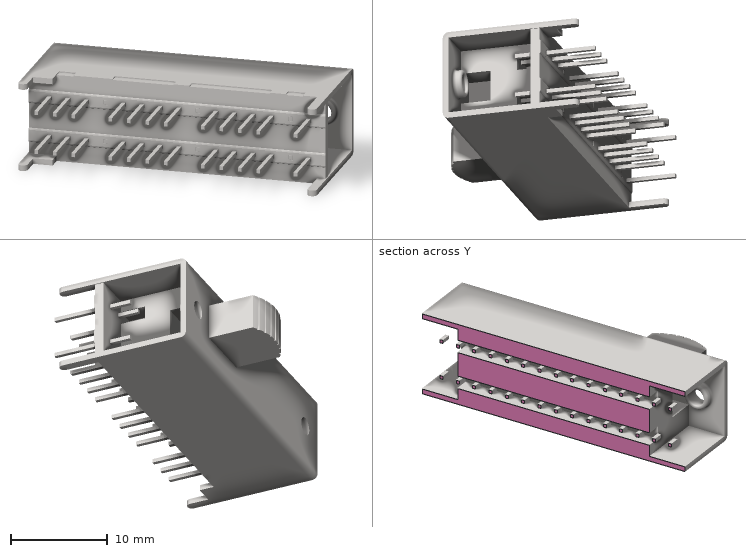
import cadquery as cq
import math

LENGTH = 32
HEIGHT = 9.45
WALL = 0.6
CORNER_RADIUS = WALL
INNER_HEIGHT = HEIGHT - 2 * WALL

EDGE_Y = -10.43
STEP_Y = -12.0
STEP_WIDTH = 3.07
LUG_WIDTH = 1.0
LUG_TIP_Y = -14.6

RECESS_SPANS = ((3.07, 4.85), (9.05, 15.6), (17.3, 25.92), (27.65, 29.47))
RECESS_LENGTH = 1.0
RECESS_DEPTH = 0.1

BASE_THICKNESS = 1.0
BASE_END_GAP = 0.1
BASE_BACK_Y = EDGE_Y + BASE_THICKNESS
STRIP_FOOT_WIDTH = 1.55
STRIP_SHOULDER_WIDTH = 1.45
STRIP_TOP_WIDTH = 1.15
STRIP_HEIGHT = 0.13
STRIP_SHOULDER_HEIGHT = 0.08
STRIP_Y = EDGE_Y - STRIP_HEIGHT
ROW_Z = 2.1
ROWS_Z = (-ROW_Z, ROW_Z)

PIN_SIZE = 0.4
PIN_COUNT = 15
PIN_PITCH = 2.0
FIRST_PIN_X = 2.37
SOCKET_SIZE = 0.5
SOCKET_DEPTH = 0.1
PIN_TIP_Y = -15.78
PIN_INNER_Y = -7.17
SHORT_PINS = (3, 8, 13)

SLIDER_END_GAP = 4.32
CHANNEL_WIDTH = 1.4
CHANNEL_FLOOR_Y = -6.7
POCKET_HEIGHT = 3.25
POCKET_END_Y = -3.85
POCKET_LENGTH = 2.88

COLLAR_X = 2.98
COLLAR_RADIUS = 1.45
COLLAR_HEIGHT = 0.9
COLLAR_ROOT_FILLET = 0.2
COLLAR_RIM_FILLET = 0.3
COLLAR_LIP_FILLET = 0.15
COLLAR_RIM_FLAT = 0.03
COLLAR_RIM_RADIUS = COLLAR_RADIUS - COLLAR_RIM_FILLET
COLLAR_BORE_RADIUS = COLLAR_RIM_RADIUS - COLLAR_RIM_FLAT - COLLAR_LIP_FILLET

HANDLE_X = 23.07
HANDLE_WIDTH = 6.62
HANDLE_HEIGHT = 3.87
HANDLE_SIDE_Y = 5.0
HANDLE_TIP_Y = 6.0
GRIP_PITCH = 0.9
GRIP_COUNT = 7
GRIP_DEPTH = 0.22
GRIP_WIDTH = 0.2


def block(x_span, y_span, z_span):
    """Box between two limits along each axis."""
    lows, highs = zip(*(sorted(span) for span in (x_span, y_span, z_span)))
    sizes = [high - low for low, high in zip(lows, highs)]
    return cq.Workplane("XY").box(*sizes, centered=False).translate(lows)


def centred(middle, size):
    return (middle - size / 2, middle + size / 2)


def make_cover():
    lug_radius = LUG_WIDTH / 2
    lug_side_y = LUG_TIP_Y + lug_radius
    outline = (
        cq.Workplane("XY")
        .moveTo(0, 0)
        .lineTo(0, lug_side_y)
        .threePointArc((lug_radius, LUG_TIP_Y), (LUG_WIDTH, lug_side_y))
        .lineTo(LUG_WIDTH, STEP_Y)
        .lineTo(STEP_WIDTH, STEP_Y)
        .lineTo(STEP_WIDTH, EDGE_Y)
        .lineTo(LENGTH - LUG_WIDTH, EDGE_Y)
        .lineTo(LENGTH - LUG_WIDTH, lug_side_y)
        .threePointArc((LENGTH - lug_radius, LUG_TIP_Y), (LENGTH, lug_side_y))
        .lineTo(LENGTH, 0)
        .close()
    )
    cover = outline.extrude(HEIGHT / 2, both=True).edges("|X and >Y").fillet(CORNER_RADIUS)
    inside = block((0, LENGTH), (-WALL, LUG_TIP_Y), centred(0, INNER_HEIGHT))
    cover = cover.cut(inside)
    for left, right in RECESS_SPANS:
        recess = block(
            (left, right),
            (EDGE_Y, EDGE_Y + RECESS_LENGTH),
            (HEIGHT / 2 - RECESS_DEPTH, HEIGHT / 2),
        )
        cover = cover.cut(recess)
    return cover


def make_base():
    x_span = (BASE_END_GAP, LENGTH - BASE_END_GAP)
    base = block(x_span, (EDGE_Y, BASE_BACK_Y), centred(0, INNER_HEIGHT))
    shoulder_y = EDGE_Y - STRIP_SHOULDER_HEIGHT
    for row_z in ROWS_Z:
        foot_low, foot_high = centred(row_z, STRIP_FOOT_WIDTH)
        shoulder_low, shoulder_high = centred(row_z, STRIP_SHOULDER_WIDTH)
        top_low, top_high = centred(row_z, STRIP_TOP_WIDTH)
        strip = (
            cq.Workplane("YZ", origin=(x_span[0], 0, 0))
            .moveTo(EDGE_Y, foot_low)
            .lineTo(shoulder_y, shoulder_low)
            .lineTo(STRIP_Y, top_low)
            .lineTo(STRIP_Y, top_high)
            .lineTo(shoulder_y, shoulder_high)
            .lineTo(EDGE_Y, foot_high)
            .close()
            .extrude(x_span[1] - x_span[0])
        )
        base = base.union(strip)
    return base


def pin_bars(size, inner_y, tip_y, indices):
    """Square bars along Y at the given places of both terminal rows."""
    bars = cq.Workplane("XY")
    for row_z in ROWS_Z:
        for index in indices:
            pin_x = FIRST_PIN_X + index * PIN_PITCH
            bars = bars.add(block(centred(pin_x, size), (tip_y, inner_y), centred(row_z, size)))
    return bars.combine()


def make_sockets():
    return pin_bars(SOCKET_SIZE, STRIP_Y + SOCKET_DEPTH, STRIP_Y, range(PIN_COUNT))


def make_pins():
    long_pins = [index for index in range(PIN_COUNT) if index not in SHORT_PINS]
    pins = pin_bars(PIN_SIZE, PIN_INNER_Y, PIN_TIP_Y, long_pins)
    return pins.union(pin_bars(PIN_SIZE, PIN_INNER_Y, STRIP_Y, SHORT_PINS))


def make_slider():
    x_span = (SLIDER_END_GAP, LENGTH - SLIDER_END_GAP)
    slider = block(x_span, (-WALL, BASE_BACK_Y), centred(0, INNER_HEIGHT))
    for row_z in ROWS_Z:
        slider = slider.cut(block(x_span, (CHANNEL_FLOOR_Y, BASE_BACK_Y), centred(row_z, CHANNEL_WIDTH)))
    for start in (x_span[0], x_span[1] - POCKET_LENGTH):
        slider = slider.cut(
            block((start, start + POCKET_LENGTH), (-WALL, POCKET_END_Y), centred(0, POCKET_HEIGHT))
        )
    return slider


def make_handle():
    handle = (
        cq.Workplane("XY")
        .moveTo(-HANDLE_WIDTH / 2, -WALL)
        .lineTo(-HANDLE_WIDTH / 2, HANDLE_SIDE_Y)
        .threePointArc((0, HANDLE_TIP_Y), (HANDLE_WIDTH / 2, HANDLE_SIDE_Y))
        .lineTo(HANDLE_WIDTH / 2, -WALL)
        .close()
        .extrude(HANDLE_HEIGHT / 2, both=True)
    )
    rise = HANDLE_TIP_Y - HANDLE_SIDE_Y
    crown_radius = (HANDLE_WIDTH**2 / 4 + rise**2) / (2 * rise)
    for index in range(GRIP_COUNT):
        x = (index - (GRIP_COUNT - 1) / 2) * GRIP_PITCH
        crown_y = HANDLE_TIP_Y - crown_radius + math.sqrt(crown_radius**2 - x**2)
        groove = (
            cq.Workplane("XY")
            .moveTo(x - GRIP_WIDTH / 2, crown_y)
            .lineTo(x, crown_y - GRIP_DEPTH)
            .lineTo(x + GRIP_WIDTH / 2, crown_y)
            .lineTo(x + GRIP_WIDTH / 2, HANDLE_TIP_Y + GRIP_DEPTH)
            .lineTo(x - GRIP_WIDTH / 2, HANDLE_TIP_Y + GRIP_DEPTH)
            .close()
            .extrude(HANDLE_HEIGHT, both=True)
        )
        handle = handle.cut(groove)
    return handle.translate((HANDLE_X, 0, 0))


def make_collar():
    """Collar around a bore along Y, with rounded rim and root, starting inside the wall."""
    root_y = -WALL
    rim_y = -WALL - COLLAR_HEIGHT
    lip_radius = COLLAR_BORE_RADIUS + COLLAR_LIP_FILLET
    return (
        cq.Workplane("XY")
        .moveTo(COLLAR_BORE_RADIUS, root_y / 2)
        .lineTo(COLLAR_BORE_RADIUS, rim_y + COLLAR_LIP_FILLET)
        .radiusArc((lip_radius, rim_y), -COLLAR_LIP_FILLET)
        .lineTo(COLLAR_RIM_RADIUS, rim_y)
        .radiusArc((COLLAR_RADIUS, rim_y + COLLAR_RIM_FILLET), -COLLAR_RIM_FILLET)
        .lineTo(COLLAR_RADIUS, root_y - COLLAR_ROOT_FILLET)
        .radiusArc((COLLAR_RADIUS + COLLAR_ROOT_FILLET, root_y), COLLAR_ROOT_FILLET)
        .lineTo(COLLAR_RADIUS + COLLAR_ROOT_FILLET, root_y / 2)
        .close()
        .revolve(360, (0, 0, 0), (0, 1, 0))
    )


cover = make_cover()
bore = cq.Workplane("XZ").circle(COLLAR_BORE_RADIUS).extrude(WALL)
for collar_x in (COLLAR_X, LENGTH - COLLAR_X):
    cover = cover.union(make_collar().translate((collar_x, 0, 0))).cut(bore.translate((collar_x, 0, 0)))

result = cover.union(make_base()).union(make_slider()).union(make_handle())
result = result.cut(make_sockets()).union(make_pins())